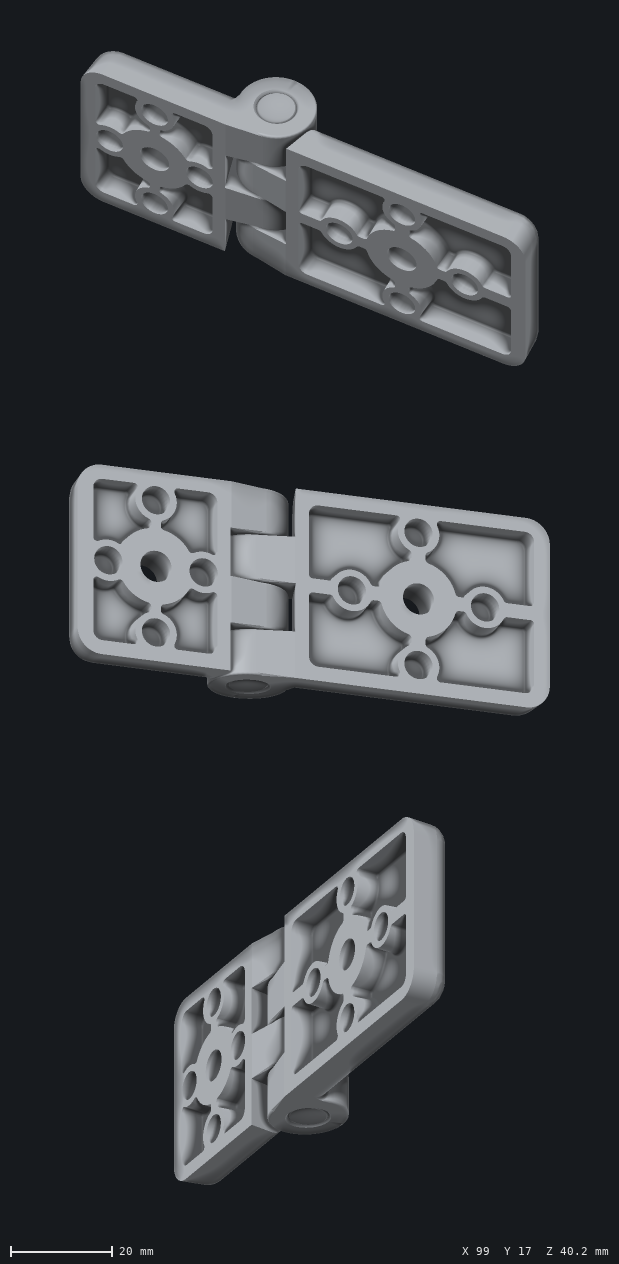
import cadquery as cq
import math


draft = 3.0
draft_slope = math.tan(math.radians(draft))

leaf_height = 40.0
leaf_shift = -0.1
plate_thickness = 8.6
corner_radius = 5.0
back_edge_radius = 3.5
short_leaf_reach = 38.9
long_leaf_reach = 99 - short_leaf_reach

axis_height = 9.0
knuckle_radius = 8.0
knuckle_rounding = 0.5
root_radius = 1.0
knuckle_pitch = 10.0
knuckle_gap = 0.2
flat_end = 6.6
clearance_end = 6.8
clearance_angle = 15.0

pin_radius = 4.1
pin_end_chamfer = 0.4
pin_length = 38.2
bore_chamfer = 0.5

screw_radius = 3.3
rim_width = 3.0
free_end_rim_width = 3.3
pocket_depth = 4.7
pocket_corner_radius = 2.0
pocket_notch_radius = 0.8
floor_radius = 0.5
centre_boss_radius = 8.0
peg_hole_radius = 3.0
peg_boss_radius = 4.4
peg_offset_z = 14.0
cross_rib_width = 3.0
short_leaf_rib_width = 2.0
short_leaf_screw = 22.5
short_leaf_peg_offset = 10.0
long_leaf_screw = 32.6
long_leaf_peg_offset = 14.0

far = 99.0
leaf_top = leaf_shift + leaf_height / 2
leaf_bottom = leaf_shift - leaf_height / 2


def prism(points, z_low, z_high):
    """Extrude an XY outline between two Z levels."""
    return cq.Workplane("XY", origin=(0, 0, z_low)).polyline(points).close().extrude(z_high - z_low)


def drafted_block(x_low, x_high, z_low, z_high, depth):
    """Block rising from Y = 0, its four sides leaning inward by the draft angle."""
    return (
        cq.Workplane("XZ", origin=((x_low + x_high) / 2, 0, (z_low + z_high) / 2))
        .rect(x_high - x_low, z_high - z_low)
        .extrude(-depth, taper=draft)
    )


def drafted_peg(x, z, radius, depth, side):
    """Cone rising from Y = 0; it widens inward for side = 1 and narrows for side = -1."""
    inner_radius = radius + side * depth * draft_slope
    cone = cq.Solid.makeCone(radius, inner_radius, depth, cq.Vector(x, 0, z), cq.Vector(0, 1, 0))
    return cq.Workplane(cone)


def end_trim():
    """Everything between the drafted top and bottom planes of a leaf."""
    lean = far * draft_slope
    outline = [
        (-far, leaf_bottom - lean),
        (far, leaf_bottom + lean),
        (far, leaf_top - lean),
        (-far, leaf_top + lean),
    ]
    return cq.Workplane("YZ", origin=(-far, 0, 0)).polyline(outline).close().extrude(2 * far)


def tangent_point(radius):
    """Where the line from the end of the flat face touches a circle about the pin axis."""
    distance = math.hypot(flat_end, axis_height)
    angle = math.atan2(axis_height, flat_end) - math.asin(radius / distance)
    length = math.sqrt(distance**2 - radius**2)
    return (-flat_end + length * math.cos(angle), length * math.sin(angle))


touch_point = tangent_point(knuckle_radius)
inner_touch_point = tangent_point(knuckle_radius - knuckle_rounding)

half_gap = knuckle_gap / 2
knuckles = [
    (knuckle_pitch + half_gap, far),
    (-knuckle_pitch + half_gap, -half_gap),
]
gaps = [
    (-half_gap, knuckle_pitch + half_gap),
    (-far, -knuckle_pitch + half_gap),
]


def barrel(radius):
    """Cylinder about the pin axis, longer than the hinge."""
    return cq.Workplane("XY", origin=(0, axis_height, -far)).circle(radius).extrude(2 * far)


def knuckle_span(z_low, z_high):
    """Everything between two Z levels, trimmed to the drafted ends of the leaf."""
    slab = cq.Workplane("XY", origin=(0, 0, z_low)).rect(far, far).extrude(z_high - z_low)
    return slab.intersect(end_trim())


def plate(reach):
    """Solid plate with rounded corners and back edges, ending inside the knuckles."""
    block = drafted_block(-reach, reach, leaf_bottom, leaf_top, plate_thickness)
    block = block.edges("not #Y").fillet(corner_radius)
    block = block.faces(">Y").edges().fillet(back_edge_radius)
    return block.intersect(prism([(-far, -far), (-flat_end, -far), (-flat_end, far), (-far, far)], -far, far))


def root_fillet(z_low, z_high):
    """Concave fillet along a knuckle, following the back of the plate and its rounded top edge."""
    bend_y = plate_thickness - back_edge_radius
    bend_top = leaf_top - bend_y * draft_slope - back_edge_radius / math.cos(math.radians(draft))

    rise = plate_thickness + root_radius - axis_height
    reach = math.sqrt((knuckle_radius + root_radius) ** 2 - rise**2)
    share = knuckle_radius / (knuckle_radius + root_radius)
    plate_end = (-reach, plate_thickness)
    barrel_end = (-reach * share, axis_height + rise * share)
    middle = (
        -reach + root_radius * math.cos(math.radians(45)),
        plate_thickness + root_radius * (1 - math.sin(math.radians(45))),
    )

    def profile(z):
        return (
            cq.Workplane("XY", origin=(0, 0, z))
            .moveTo(*plate_end)
            .threePointArc(middle, barrel_end)
            .lineTo(-flat_end, barrel_end[1])
            .lineTo(-flat_end, plate_thickness)
            .close()
        )

    straight = profile(leaf_shift - knuckle_pitch).extrude(bend_top - leaf_shift + knuckle_pitch)
    top_bend = profile(bend_top).revolve(90, (0, bend_y, 0), (1, bend_y, 0))
    return straight.union(top_bend).intersect(knuckle_span(z_low, z_high))


def gap_cutter(z_low, z_high):
    """Room for a knuckle of the other leaf, up to the leaning end of the plate."""
    lean = far * math.tan(math.radians(clearance_angle))
    outline = [(lean - clearance_end, -far), (far, -far), (far, far), (-lean - clearance_end, far)]
    return prism(outline, z_low, z_high)


def fade_wedge(z_end, inward, lean):
    """Tetrahedron that lets a rounded edge run out along the tangent underside of a knuckle.

    z_end is the end face's Z at Y = 0, inward is +1 or -1 into the knuckle,
    and lean is how far the end face moves inward per unit of Y.
    """
    def point(xy, depth):
        return cq.Vector(xy[0], xy[1], z_end + inward * (depth + lean * xy[1]))

    corners = [
        point((-flat_end, 0), 0),
        point(inner_touch_point, 0),
        point(touch_point, 0),
        point(touch_point, knuckle_rounding),
    ]
    faces = []
    for skipped in range(4):
        triangle = corners[:skipped] + corners[skipped + 1:]
        faces.append(cq.Face.makeFromWires(cq.Wire.makePolygon(triangle, close=True)))
    return cq.Workplane(cq.Solid.makeSolid(cq.Shell.makeShell(faces)))


def knuckle(z_low, z_high):
    """Round knuckle with a straight wall toward the plate, on an arm that reaches the flat face."""
    wall_foot = plate_thickness / 2
    wall = [(-knuckle_radius, wall_foot), (0, wall_foot), (0, axis_height), (-knuckle_radius, axis_height)]
    span = knuckle_span(z_low, z_high)
    body = barrel(knuckle_radius).union(prism(wall, -far, far)).intersect(span)
    body = body.edges("not |Z").fillet(knuckle_rounding)

    arm = prism([(-flat_end, 0), touch_point, (0, axis_height), (-flat_end, axis_height)], -far, far)
    arm = arm.intersect(span).cut(fade_wedge(z_low, 1, 0))
    if z_high > leaf_top:
        arm = arm.cut(fade_wedge(leaf_top, -1, draft_slope))
    else:
        arm = arm.cut(fade_wedge(z_high, -1, 0))
    return body.union(arm)


def peg_places(screw_x, peg_offset):
    """X and Z of the four blind holes around a screw hole."""
    return [
        (screw_x - peg_offset, leaf_shift),
        (screw_x + peg_offset, leaf_shift),
        (screw_x, leaf_shift - peg_offset_z),
        (screw_x, leaf_shift + peg_offset_z),
    ]


def rib(length_x, length_z, x):
    """Straight rib that widens toward the pocket floor."""
    return (
        cq.Workplane("XZ", origin=(x, 0, leaf_shift))
        .rect(length_x, length_z)
        .extrude(-pocket_depth, taper=-draft)
    )


def pocket_cutter(x_low, x_high, screw_x, peg_offset, rib_width):
    """Four pockets left between the rim, the cross ribs and the round bosses."""
    z_low = leaf_bottom + rim_width
    z_high = leaf_top - rim_width
    pockets = drafted_block(x_low, x_high, z_low, z_high, pocket_depth)
    pockets = pockets.cut(rib(rib_width, far, screw_x)).cut(rib(far, cross_rib_width, screw_x))
    pockets = pockets.cut(drafted_peg(screw_x, leaf_shift, centre_boss_radius, pocket_depth, 1))
    for x, z in peg_places(screw_x, peg_offset):
        pockets = pockets.cut(drafted_peg(x, z, peg_boss_radius, pocket_depth, 1))
    rim_corners = "<(1,0,1) or >(1,0,1) or <(1,0,-1) or >(1,0,-1)"
    pockets = pockets.edges(f"not(<Y or >Y or {rim_corners})").fillet(pocket_notch_radius)
    pockets = pockets.edges(rim_corners).fillet(pocket_corner_radius)
    return pockets.faces(">Y").edges().fillet(floor_radius)


def peg_hole(x, z):
    """Drafted blind hole with a rounded floor."""
    hole = drafted_peg(x, z, peg_hole_radius, pocket_depth, -1)
    return hole.faces(">Y").edges().fillet(floor_radius)


def pin_bore():
    """Bore for the pin, with a chamfer square to the drafted end face of the outer knuckle."""
    mouth = cq.Vector(0, axis_height, leaf_top - axis_height * draft_slope)
    inward = cq.Vector(0, -draft_slope, -1)
    cone_radius = 2 * pin_radius
    apex_depth = pin_radius + bore_chamfer
    base = mouth - inward.normalized() * (cone_radius - apex_depth)
    chamfer = cq.Workplane(cq.Solid.makeCone(cone_radius, 0, cone_radius, base, inward))
    return barrel(pin_radius).union(chamfer)


def leaf(reach, screw_offset, peg_offset, rib_width):
    """One leaf on the -X side of the pin, with its knuckles and all its holes and pockets."""
    body = plate(reach)
    for z_low, z_high in gaps:
        body = body.cut(gap_cutter(z_low, z_high))
    for z_low, z_high in knuckles:
        body = body.union(knuckle(z_low, z_high)).union(root_fillet(z_low, z_high))
    body = body.cut(pin_bore())

    screw_x = -screw_offset
    pocket_start = free_end_rim_width - reach
    pocket_end = -flat_end - rim_width
    body = body.cut(pocket_cutter(pocket_start, pocket_end, screw_x, peg_offset, rib_width))
    for x, z in peg_places(screw_x, peg_offset):
        body = body.cut(peg_hole(x, z))
    screw_hole = cq.Workplane("XZ", origin=(screw_x, 0, leaf_shift)).circle(screw_radius).extrude(-far)
    return body.cut(screw_hole)


def hinge_pin():
    """Pin with chamfered ends, just short of the knuckle ends."""
    rod = cq.Workplane("XY", origin=(0, axis_height, -pin_length / 2)).circle(pin_radius).extrude(pin_length)
    return rod.edges().chamfer(pin_end_chamfer)


short_leaf = leaf(short_leaf_reach, short_leaf_screw, short_leaf_peg_offset, short_leaf_rib_width)
long_leaf = leaf(long_leaf_reach, long_leaf_screw, long_leaf_peg_offset, cross_rib_width)
long_leaf = long_leaf.rotate((0, 0, 0), (0, 1, 0), 180)
pin = hinge_pin()

result = cq.Compound.makeCompound([short_leaf.val(), long_leaf.val(), pin.val()])